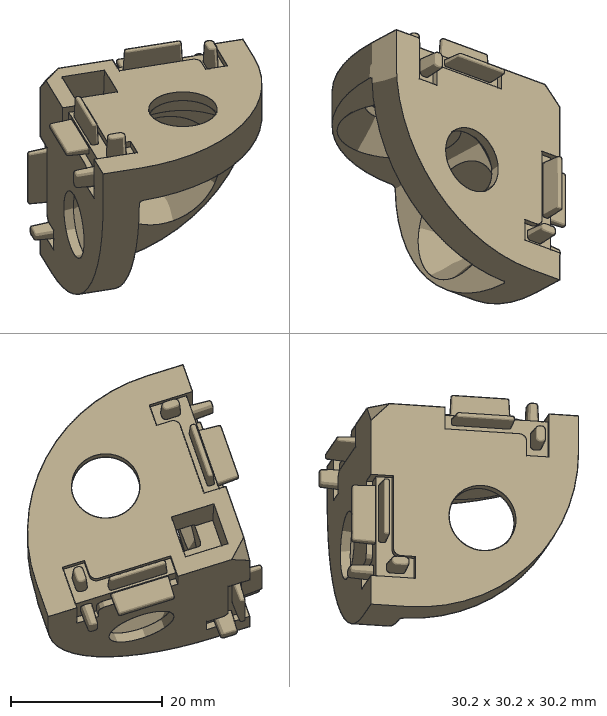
import cadquery as cq
import math

OVERALL = 30.2
TAB_RISE = 2.2
BODY = OVERALL - TAB_RISE
WALL = 5.0
INNER_FILLET = 0.5
CORNER_CHAMFER = 2.5

WINDOW_CENTER = 15.05
WINDOW_RADIUS = 4.5
WINDOW_LIP = 1.33

SQUARE_SIDE = 5.9
SQUARE_CENTER = 5.22
SQUARE_TAPER = 2.5

RECESS_START = 10.0
RECESS_END = 24.0
RECESS_WIDTH = 3.02
RECESS_LEG_LENGTH = 5.98
RECESS_DEPTH = 0.85
RECESS_FILLET = 1.0

TAB_LENGTH = 8.03
TAB_THICKNESS = 1.03
TAB_OFFSET = 1.7
TAB_CORNER = 0.3
PEG_LENGTH = 2.6
PEG_THICKNESS = 1.57
PEG_POSITION = 22.45
PEG_OFFSET = 3.55
PEG_CORNER = 0.57
STUD_TAPER = 2.5
TIP_FILLET = 0.27

SWAP_NORMAL = cq.Vector(1, -1, 0)
SPACE_DIAGONAL = (1, 1, -1)
THIRD_TURNS = (0, 120, 240)


def three_ways(shape):
    """Place a shape of the top wall on all three walls, turning it about the space diagonal."""
    placed = cq.Workplane()
    for angle in THIRD_TURNS:
        placed = placed.add(shape.rotate((0, 0, 0), SPACE_DIAGONAL, angle))
    return placed.combine()


def six_ways(shape):
    """Place a shape of the top wall's front edge on both outer edges of all three walls."""
    return three_ways(shape.union(shape.mirror(SWAP_NORMAL)))


def outer_block():
    """Block whose outline along each axis is a square with its far corner rounded.

    The rounding starts one wall thickness from the straight sides.
    """
    arc_radius = BODY - WALL
    arc_middle = WALL + arc_radius * math.sqrt(0.5)
    prism = (
        cq.Workplane("XY")
        .lineTo(BODY, 0)
        .lineTo(BODY, WALL)
        .threePointArc((arc_middle, arc_middle), (WALL, BODY))
        .lineTo(0, BODY)
        .close()
        .extrude(-BODY)
    )
    block = prism
    for angle in THIRD_TURNS[1:]:
        block = block.intersect(prism.rotate((0, 0, 0), SPACE_DIAGONAL, angle))
    return block


def inner_space():
    """Cutter that leaves three walls, with rounded edges where the walls meet."""
    return (
        cq.Workplane("XY", origin=(WALL, WALL, -WALL))
        .rect(BODY, BODY, centered=False)
        .extrude(-BODY)
        .edges("(|X and <Y and >Z) or (|Y and <X and >Z) or (|Z and <X and <Y)")
        .fillet(INNER_FILLET)
    )


def window():
    """Cutter for the round window of the top wall."""
    flare = WALL - WINDOW_LIP
    return (
        cq.Workplane("XZ")
        .lineTo(WINDOW_RADIUS, 0)
        .lineTo(WINDOW_RADIUS, -WINDOW_LIP)
        .lineTo(WINDOW_RADIUS + flare, -WALL)
        .lineTo(0, -WALL)
        .close()
        .revolve(360, (0, 0, 0), (0, 1, 0))
        .translate((WINDOW_CENTER, WINDOW_CENTER, 0))
    )


def square_opening():
    """Cutter for the square opening, narrowing inward past the inside rounding."""
    return (
        cq.Workplane("XY")
        .center(SQUARE_CENTER, SQUARE_CENTER)
        .rect(SQUARE_SIDE, SQUARE_SIDE)
        .extrude(-WALL - INNER_FILLET, taper=SQUARE_TAPER)
    )


def outer_corner():
    """Block that cuts off the corner where the three outer faces meet."""
    third = CORNER_CHAMFER / 3
    cut_plane = cq.Plane(origin=(third, third, -third), normal=(-1, -1, 1))
    return cq.Workplane(cut_plane).rect(2 * CORNER_CHAMFER, 2 * CORNER_CHAMFER).extrude(CORNER_CHAMFER)


def recess():
    """Cutter for the L-shaped recess along the front edge of the top wall."""
    leg_start = RECESS_END - RECESS_WIDTH
    return (
        cq.Workplane("XY")
        .moveTo(RECESS_START, 0)
        .lineTo(RECESS_END, 0)
        .lineTo(RECESS_END, RECESS_LEG_LENGTH)
        .lineTo(leg_start, RECESS_LEG_LENGTH)
        .lineTo(leg_start, RECESS_WIDTH + RECESS_FILLET)
        .radiusArc((leg_start - RECESS_FILLET, RECESS_WIDTH), RECESS_FILLET)
        .lineTo(RECESS_START, RECESS_WIDTH)
        .close()
        .extrude(-RECESS_DEPTH)
    )


def stud(center_x, center_y, size_x, size_y, corner_radius):
    """Tapered block with rounded corners and tip, rising from the recess floor."""
    return (
        cq.Workplane("XY", origin=(center_x, center_y, -RECESS_DEPTH))
        .rect(size_x, size_y)
        .extrude(RECESS_DEPTH + TAB_RISE, taper=STUD_TAPER)
        .edges("not (|X or |Y or #Z)")
        .fillet(corner_radius)
        .faces(">Z")
        .edges()
        .fillet(TIP_FILLET)
    )


body = outer_block().cut(inner_space())

body = body.cut(three_ways(window()))
body = body.cut(square_opening())
body = body.cut(outer_corner())

tab = stud(WINDOW_CENTER, TAB_OFFSET, TAB_LENGTH, TAB_THICKNESS, TAB_CORNER)
peg = stud(PEG_POSITION, PEG_OFFSET, PEG_THICKNESS, PEG_LENGTH, PEG_CORNER)
body = body.cut(six_ways(recess()))
result = body.union(six_ways(tab.union(peg)))